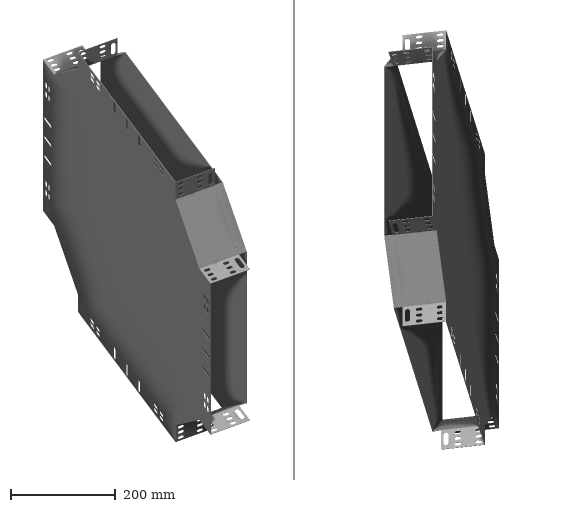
import cadquery as cq
import math

span = 691.0
depth = 101.5
sheet = 0.8

arm_end = span / 2
arm_half_width = 201.0
arm_start = 300.0
wall_top = depth - sheet
tab_top = 85.0

lid_half_width = 301.5
lip_depth = 19.0
lip_end_inset = 19.0

slot_width = 7.0
long_slot_length = 30.0

floor_short_slot_length = 14.5
floor_long_slot_pitch = 50.5
floor_long_slot_from_end = 19.5
floor_short_slot_offsets = (119.0, 143.0)
floor_short_slots_from_end = (12.5, 24.0)

tab_short_slot_length = 12.5
tab_long_slot_width = 10.0
tab_long_slot_height = 75.5
tab_long_slot_from_end = 24.0
tab_short_slot_heights = (12.0, 52.5)
tab_short_slots_from_end = (8.0, 22.0, 36.0)

diagonal_sum = arm_half_width + arm_start
sheet_diagonal = sheet * math.sqrt(2)


def extrude_xz(sketch_points, y_start, y_end):
    """Prism over an outline in the XZ plane, from y_start to y_end."""
    plane = cq.Workplane("XZ", origin=(0, y_start, 0))
    return plane.polyline(sketch_points).close().extrude(y_start - y_end)


def four_corners(quarter):
    """Outline symmetric about X and Z, from the points of its +X +Z quarter."""
    mirrored = [(-x, z) for x, z in reversed(quarter)]
    upper = quarter + mirrored
    lower = [(-x, -z) for x, z in upper]
    return upper + lower


def cross_outline(half_width, corner_sum):
    """Cross with arms of the given half width, joined by diagonals where |x| + |z| = corner_sum."""
    corner = corner_sum - half_width
    return four_corners([
        (arm_end, half_width),
        (corner, half_width),
        (half_width, corner),
        (half_width, arm_end),
    ])


def around_axis(body, quarter_turns):
    """Body turned about the Y axis by a number of quarter turns."""
    return body.rotate((0, 0, 0), (0, 1, 0), 90 * quarter_turns)


def floor_slots():
    """Cutters for the floor slots of the +Z arm."""
    plane = cq.Workplane("XZ")
    long_points = [
        (step * floor_long_slot_pitch, arm_end - floor_long_slot_from_end) for step in (-1, 0, 1)
    ]
    short_points = [
        (side * offset, arm_end - from_end)
        for side in (-1, 1)
        for offset in floor_short_slot_offsets
        for from_end in floor_short_slots_from_end
    ]
    long_slots = plane.pushPoints(long_points).slot2D(long_slot_length, slot_width, 90).extrude(-wall_top)
    short_slots = (
        plane.pushPoints(short_points)
        .slot2D(floor_short_slot_length, slot_width, 0)
        .extrude(-wall_top)
    )
    return long_slots.union(short_slots)


def tab_slots():
    """Cutters through both tabs of the +Z arm."""
    plane = cq.Workplane("YZ", origin=(-span / 2, 0, 0))
    long_point = (tab_long_slot_height, arm_end - tab_long_slot_from_end)
    short_points = [
        (height, arm_end - from_end)
        for height in tab_short_slot_heights
        for from_end in tab_short_slots_from_end
    ]
    long_slot = plane.pushPoints([long_point]).slot2D(long_slot_length, tab_long_slot_width, 90).extrude(span)
    short_slots = plane.pushPoints(short_points).slot2D(tab_short_slot_length, slot_width, 0).extrude(span)
    return long_slot.union(short_slots)


def make_tray():
    """Floor, four diagonal walls and two slotted tabs on each open arm."""
    outer = cross_outline(arm_half_width, diagonal_sum)
    inner = cross_outline(arm_half_width - sheet, diagonal_sum - sheet_diagonal)
    tray = extrude_xz(outer, 0, wall_top).cut(extrude_xz(inner, sheet, wall_top))
    keep_low = cq.Workplane("XY").box(span, tab_top, span, centered=(True, False, True))
    keep_walls = cq.Workplane("XY").box(2 * arm_start, wall_top, 2 * arm_start, centered=(True, False, True))
    tray = tray.intersect(keep_low.union(keep_walls))
    for turn in range(4):
        tray = tray.cut(around_axis(floor_slots(), turn))
        tray = tray.cut(around_axis(tab_slots(), turn))
    return tray


def make_lip():
    """Trapezoidal lip hanging from the lid against the outer face of the +X +Z diagonal wall."""
    half_length = lid_half_width * math.sqrt(2) - (diagonal_sum + sheet_diagonal) / math.sqrt(2)
    tip_half_length = half_length - lip_end_inset
    face = cq.Plane(origin=(diagonal_sum / 2, wall_top, diagonal_sum / 2), xDir=(1, 0, -1), normal=(1, 0, 1))
    return (
        cq.Workplane(face)
        .polyline([
            (-half_length, 0),
            (half_length, 0),
            (tip_half_length, -lip_depth),
            (-tip_half_length, -lip_depth),
        ])
        .close()
        .extrude(sheet)
    )


def make_lid():
    """Octagonal cover sheet with a lip along each diagonal edge."""
    edge_half_length = diagonal_sum + sheet_diagonal - lid_half_width
    outline = four_corners([(lid_half_width, edge_half_length), (edge_half_length, lid_half_width)])
    lid = extrude_xz(outline, wall_top, depth)
    for turn in range(4):
        lid = lid.union(around_axis(make_lip(), turn))
    return lid


tray = make_tray()
lid = make_lid()
result = cq.Compound.makeCompound([tray.val(), lid.val()])